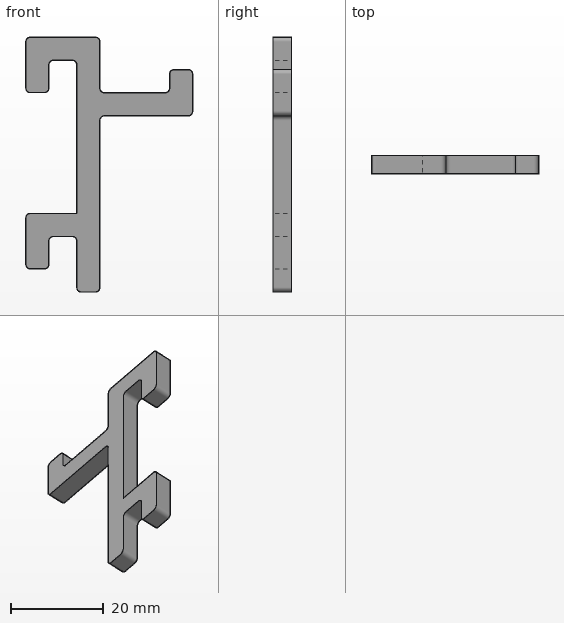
import cadquery as cq

height = 55.0
thickness = 4.0
bar = 5.0
hook_gap = 6.0
hook_drop = 7.0
tail = 5.0
peg_reach = 15.0
peg_base = 38.0
peg_lip = 5.0
corner_radius = 1.0

spine_left = bar + hook_gap
spine_right = spine_left + bar
peg_end = spine_right + peg_reach + bar
hook_height = hook_drop + bar
lower_hook_top = tail + hook_height


def block(x_min, x_max, z_min, z_max):
    """Rectangular bar spanning the full thickness."""
    return cq.Workplane("XY").box(
        x_max - x_min, thickness, z_max - z_min, centered=False
    ).translate((x_min, 0, z_min))


def left_hook(top):
    """Arm reaching left from the spine, with a lip hanging down."""
    arm = block(0, spine_right, top - bar, top)
    lip = block(0, bar, top - hook_height, top)
    return arm.union(lip)


def right_peg():
    """Arm reaching right from the spine, with a lip standing up."""
    arm = block(spine_left, peg_end, peg_base, peg_base + bar)
    lip = block(peg_end - bar, peg_end, peg_base, peg_base + bar + peg_lip)
    return arm.union(lip)


spine = block(spine_left, spine_right, 0, height)
body = spine.union(left_hook(height)).union(left_hook(lower_hook_top)).union(right_peg()).clean()

sharp_corner = cq.selectors.NearestToPointSelector((spine_left, thickness / 2, lower_hook_top))
depth_edges = cq.selectors.ParallelDirSelector(cq.Vector(0, 1, 0))
profile_corners = cq.selectors.SubtractSelector(depth_edges, sharp_corner)
result = body.edges(profile_corners).fillet(corner_radius)